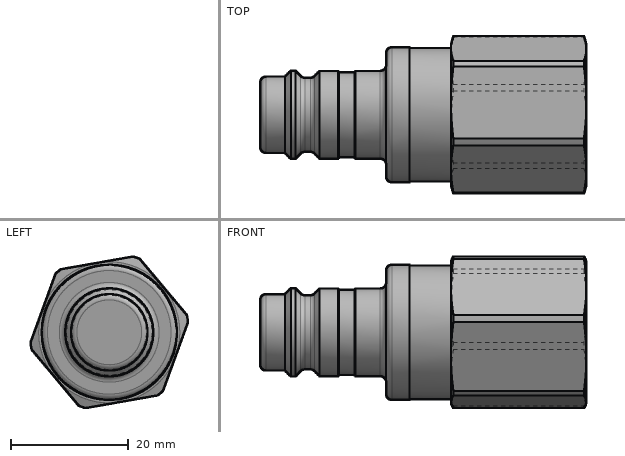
import cadquery as cq
import math


nose_diameter = 13.0
nose_round = 1.0
collar_diameter = 15.0
collar_start = 4.2
collar_land_start = collar_start + (collar_diameter - nose_diameter) / 2
collar_land_end = 6.05

groove_diameter = 12.65
groove_floor_start = 7.6
groove_floor_end = 8.55
groove_corner_radius = 1.0
flank_angle = math.radians(45)

neck_diameter = 14.95
band_diameter = 14.5
band_start = 13.2
band_end = 16.25
band_edge_width = (neck_diameter - band_diameter) / 2
shoulder_start = 21.4
shoulder_round = 1.0

shoulder_diameter = 23.0
body_diameter = 22.75
body_start = 25.4

hex_start = 32.4
total_length = 55.4
hex_across_flats = 24.0
hex_corner_diameter = 27.05
hex_rotation = 10.0
hex_chamfer_angle = math.radians(15)


def turn(profile):
    """Revolve a closed profile of (x, radius) about the X axis."""
    return profile.close().revolve(360, (0, 0, 0), (1, 0, 0))


def quarter_arc_offset(radius):
    """Distance from the corner of a quarter round's square to the middle of its arc."""
    return radius * (1 - math.sqrt(0.5))


def make_stem():
    nose_radius = nose_diameter / 2
    collar_radius = collar_diameter / 2
    groove_radius = groove_diameter / 2
    neck_radius = neck_diameter / 2
    band_radius = band_diameter / 2
    shoulder_radius = shoulder_diameter / 2
    body_radius = body_diameter / 2

    corner_run = groove_corner_radius * math.sin(flank_angle)
    corner_rise = groove_corner_radius * (1 - math.cos(flank_angle))
    corner_mid_run = groove_corner_radius * math.sin(flank_angle / 2)
    corner_mid_rise = groove_corner_radius * (1 - math.cos(flank_angle / 2))
    flank_foot = groove_radius + corner_rise
    flank_run = (neck_radius - flank_foot) / math.tan(flank_angle)
    groove_end = groove_floor_end + corner_run + flank_run

    nose_mid = quarter_arc_offset(nose_round)
    shoulder_mid = quarter_arc_offset(shoulder_round)

    profile = (
        cq.Workplane("XY")
        .moveTo(0, 0)
        .lineTo(0, nose_radius - nose_round)
        .threePointArc((nose_mid, nose_radius - nose_mid), (nose_round, nose_radius))
        .lineTo(collar_start, nose_radius)
        .lineTo(collar_land_start, collar_radius)
        .lineTo(collar_land_end, collar_radius)
        .lineTo(groove_floor_start - corner_run, flank_foot)
        .threePointArc(
            (groove_floor_start - corner_mid_run, groove_radius + corner_mid_rise),
            (groove_floor_start, groove_radius),
        )
        .lineTo(groove_floor_end, groove_radius)
        .threePointArc(
            (groove_floor_end + corner_mid_run, groove_radius + corner_mid_rise),
            (groove_floor_end + corner_run, flank_foot),
        )
        .lineTo(groove_end, neck_radius)
        .lineTo(band_start, neck_radius)
        .lineTo(band_start + band_edge_width, band_radius)
        .lineTo(band_end - band_edge_width, band_radius)
        .lineTo(band_end, neck_radius)
        .lineTo(shoulder_start - shoulder_round, neck_radius)
        .threePointArc(
            (shoulder_start - shoulder_mid, neck_radius + shoulder_mid),
            (shoulder_start, neck_radius + shoulder_round),
        )
        .lineTo(shoulder_start, shoulder_radius - shoulder_round)
        .threePointArc(
            (shoulder_start + shoulder_mid, shoulder_radius - shoulder_mid),
            (shoulder_start + shoulder_round, shoulder_radius),
        )
        .lineTo(body_start, shoulder_radius)
        .lineTo(body_start, body_radius)
        .lineTo(hex_start, body_radius)
        .lineTo(hex_start, 0)
    )
    return turn(profile)


def make_hexagon():
    across_corners = hex_across_flats / math.cos(math.radians(30))
    prism = (
        cq.Workplane("YZ", origin=(hex_start, 0, 0))
        .polygon(6, across_corners)
        .extrude(total_length - hex_start)
        .rotate((0, 0, 0), (1, 0, 0), -hex_rotation)
    )

    face_radius = hex_across_flats / 2
    corner_radius = hex_corner_diameter / 2
    chamfer_length = (corner_radius - face_radius) * math.tan(hex_chamfer_angle)
    envelope = turn(
        cq.Workplane("XY")
        .moveTo(hex_start, 0)
        .lineTo(hex_start, face_radius)
        .lineTo(hex_start + chamfer_length, corner_radius)
        .lineTo(total_length - chamfer_length, corner_radius)
        .lineTo(total_length, face_radius)
        .lineTo(total_length, 0)
    )
    return prism.intersect(envelope)


result = make_stem().union(make_hexagon())